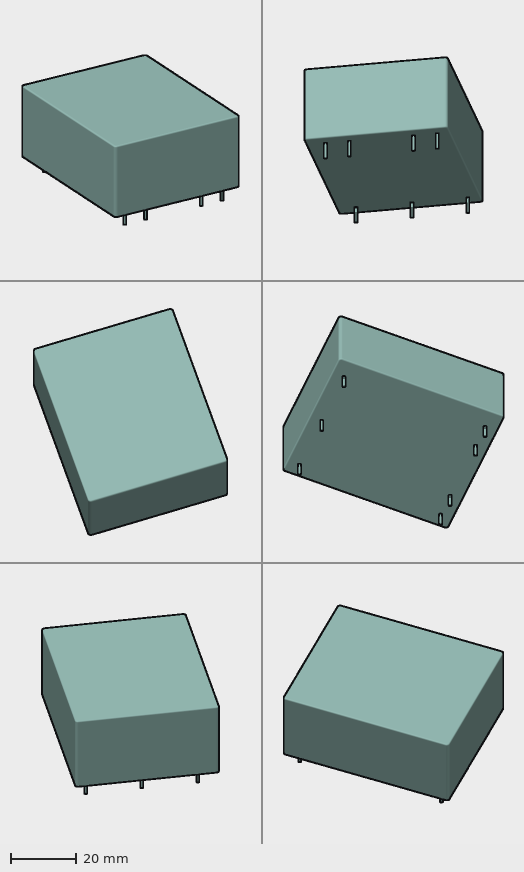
import cadquery as cq

housing_length = 55.0
housing_width = 45.0
housing_height = 24.0
corner_radius = 1.0
rim_radius = 0.5

pin_diameter = 1.0
pin_length = 5.0
pin_tip_radius = 0.2
pin_row_x = 23.5
pin_pattern_center_y = 1.0
inner_pin_offset = 10.0
outer_pin_offset = 17.5

left_row_offsets = [-outer_pin_offset, 0, outer_pin_offset]
right_row_offsets = [-outer_pin_offset, -inner_pin_offset, inner_pin_offset, outer_pin_offset]


def make_housing():
    """Block with rounded vertical corners and smaller rounds on its top and bottom rims."""
    block = cq.Workplane("XY").box(
        housing_length, housing_width, housing_height, centered=(True, True, False)
    )
    block = block.edges("|Z").fillet(corner_radius)
    return block.faces("<Z or >Z").edges().fillet(rim_radius)


def make_pin(x, y):
    """Round pin hanging from the underside of the housing, with a small round at its tip."""
    pin = cq.Workplane("XY").center(x, y).circle(pin_diameter / 2).extrude(-pin_length)
    return pin.faces("<Z").edges().fillet(pin_tip_radius)


housing = make_housing()

pins = []
for row_x, row_offsets in [(-pin_row_x, left_row_offsets), (pin_row_x, right_row_offsets)]:
    for offset in row_offsets:
        pins.append(make_pin(row_x, pin_pattern_center_y + offset))

result = cq.Compound.makeCompound([housing.val(), *[pin.val() for pin in pins]])